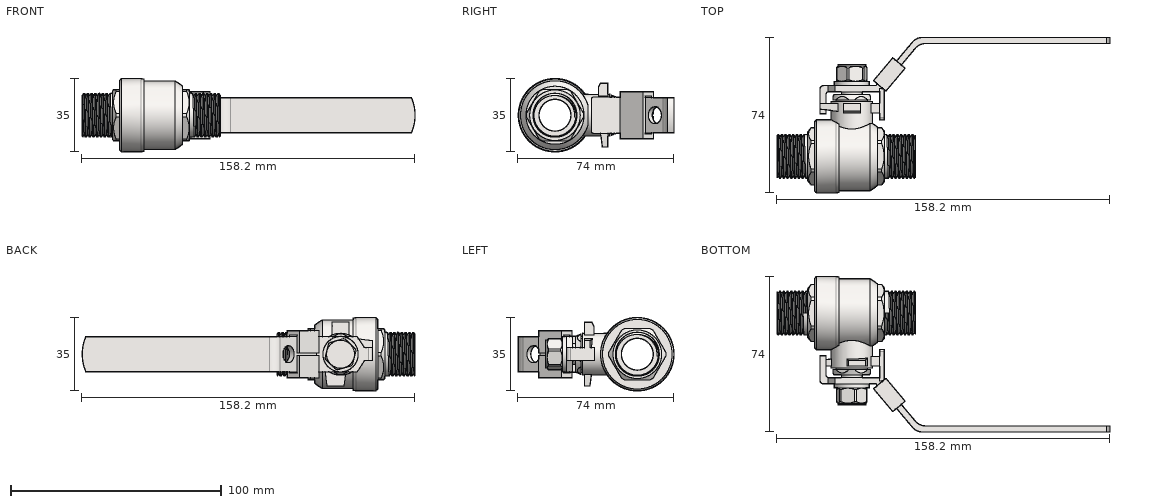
import cadquery as cq
import math


LEFT_END = -35.5
TOTAL_LENGTH = 158.2
TOTAL_DEPTH = 74.0
LEVER_TIP = LEFT_END + TOTAL_LENGTH
BORE_DIA = 15.0

THREAD_DIA = 20.9
THREAD_LENGTH = 13.5
THREAD_TURNS = 7.5
THREAD_PITCH = THREAD_LENGTH / THREAD_TURNS
THREAD_DEPTH = 1.1
GROOVE_MOUTH = 1.6
GROOVE_OVERSHOOT = 0.2
RIGHT_END = 30.2
END_CHAMFER = 0.5

WRENCH_FLATS = 24.4
WRENCH_CORNER_DIA = 27.2
LEFT_HEX_START = -21.0
LEFT_HEX_BEVEL = (23.1, 1.7)
RIGHT_HEX_END = 15.5
RIGHT_HEX_BEVEL = (24.0, 1.3)

RING_DIA = 35.0
RING_START = -17.7
RING_END = -6.0
RING_LEFT_CHAMFER = 1.0
RING_RIGHT_BEVEL = (1.5, 0.3)
BODY_DIA = 32.8
BODY_SPHERE_RADIUS = 18.5
BODY_END = 12.3

NECK_DIA = 20.0
NECK_TOP = 26.1
GLAND_NECK_DIA = 15.0
GLAND_BOTTOM = 26.7
GLAND_TOP = 29.5
GLAND_FLATS = 17.9
GLAND_TOP_DIA = 17.1
GLAND_BOTTOM_DIA = 19.3
STEM_DIA = 10.0
WASHER_DIA = 16.8
WASHER_TOP = 35.6
NUT_TOP = 43.7
NUT_FLATS = 13.5
NUT_CORNER_DIA = 15.0
NUT_FACE_DIA = 13.3
NUT_BEVEL = 0.8
NUT_CAP_HEIGHT = 0.8
NUT_ANGLE = 44.0

LUG_REACH = 15.2
LUG_TOP = 25.2
LUG_WIDTH = 8.0
THICK_LUG_HEIGHT = 4.6
THICK_LUG_BEVEL = (1.9, 1.0)
THIN_LUG_TIP_HEIGHT = 2.7
THIN_LUG_OFFSET = 2.4
THIN_LUG_DRAFT = 0.13
LUG_ROOT = 4.7

LEVER_WIDTH = 16.8
LEVER_THICKNESS = 3.0
PLATE_TOP = 33.7
GRIP_TOP = TOTAL_DEPTH - RING_DIA / 2
ARM_ANGLE = 50.0
ARM_TOP_X = 30.7
GRIP_BEND_RADIUS = 6.3
TIP_BULGE = 1.7
LANYARD_HOLE_DIA = 8.0
LANYARD_HOLE_Y = 49.4

LEFT_TAB_WIDTH = 6.2
LEFT_TAB_X = -15.2
LEFT_TAB_BOTTOM = 20.3
TAB_OUTER_RADIUS = 1.9
TAB_INNER_RADIUS = 1.3
TAPER_START_X = -7.9
TAPER_END_X = -11.4
RIGHT_TAB_X = 13.3
RIGHT_TAB_THICKNESS = 2.2
RIGHT_TAB_WIDTH = 17.2
RIGHT_TAB_BOTTOM = 17.2
RIGHT_TAB_CORNER = 1.1

SLEEVE_LENGTH = 14.2
SLEEVE_HEIGHT = 7.8
SLEEVE_WIDTH = 22.5
SLEEVE_CENTER_Y = 39.0
SLEEVE_SLIT = 1.1
SLEEVE_OPENING_HEIGHT = 4.5
SLEEVE_OPENING_WIDTH = 18.0

ARM_SLOPE = math.tan(math.radians(ARM_ANGLE))
PLATE_BOTTOM = PLATE_TOP - LEVER_THICKNESS


def box(x_range, y_range, z_range):
    """Block given by its limits along each axis."""
    size = [high - low for low, high in (x_range, y_range, z_range)]
    corner = cq.Vector(x_range[0], y_range[0], z_range[0])
    return cq.Workplane("XY").add(cq.Solid.makeBox(*size, pnt=corner))


def turned_x(points):
    """Solid of revolution about the bore axis from (x, radius) points."""
    return cq.Workplane("XY").polyline(points).close().revolve(360, (0, 0), (1, 0))


def turned_y(points):
    """Solid of revolution about the stem axis from (radius, y) points."""
    return cq.Workplane("XY").polyline(points).close().revolve(360, (0, 0), (0, 1))


def disc(diameter, bottom, top):
    """Cylinder on the stem axis."""
    return cq.Workplane("XZ", origin=(0, bottom, 0)).circle(diameter / 2).extrude(bottom - top)


def hex_across_flats(workplane, flats, length):
    """Hexagonal prism with corners on the local x axis."""
    return workplane.polygon(6, flats / math.cos(math.radians(30))).extrude(length)


def wrench_hex(inner_x, outer_x, bevel):
    """Hex on the bore axis, turned at the corners and bevelled at its outer end."""
    outer_dia, bevel_length = bevel
    direction = math.copysign(1, outer_x - inner_x)
    bevel_x = outer_x - direction * bevel_length
    prism = hex_across_flats(cq.Workplane("YZ", origin=(inner_x, 0, 0)), WRENCH_FLATS, outer_x - inner_x)
    envelope = turned_x([
        (inner_x, 0),
        (inner_x, WRENCH_CORNER_DIA / 2),
        (bevel_x, WRENCH_CORNER_DIA / 2),
        (outer_x, outer_dia / 2),
        (outer_x, 0),
    ])
    return prism.intersect(envelope)


def thread_groove(start_x, length):
    """Helical V groove on the bore axis, from start_x toward +X."""
    radius = THREAD_DIA / 2
    half_width = GROOVE_MOUTH / 2
    helix = cq.Wire.makeHelix(THREAD_PITCH, length, radius, cq.Vector(start_x, 0, 0), cq.Vector(1, 0, 0))
    start = helix.startPoint()
    outward = cq.Vector(0, start.y, start.z).normalized()
    plane = cq.Plane(origin=start.toTuple(), xDir=(1, 0, 0), normal=cq.Vector(1, 0, 0).cross(outward))
    section = cq.Workplane(plane).polyline([
        (-half_width, GROOVE_OVERSHOOT),
        (half_width, GROOVE_OVERSHOOT),
        (0, -THREAD_DEPTH),
    ]).close()
    return section.sweep(cq.Workplane("XY").add(helix), isFrenet=True)


def threaded_pipe(inner_length):
    """Pipe from x = 0 toward +X, threaded at its open end."""
    radius = THREAD_DIA / 2
    pipe = turned_x([
        (0, BORE_DIA / 2),
        (0, radius - END_CHAMFER),
        (END_CHAMFER, radius),
        (inner_length, radius),
        (inner_length, BORE_DIA / 2),
    ])
    return pipe.cut(thread_groove(-THREAD_PITCH, THREAD_LENGTH + THREAD_PITCH))


def dome_radius(x):
    """Radius of the spherical end of the body at x."""
    return math.sqrt(BODY_SPHERE_RADIUS**2 - x**2)


def make_body():
    """Threaded pipe ends, clamp ring, round body and wrench hexes."""
    ring_radius = RING_DIA / 2
    bevel_length, bevel_depth = RING_RIGHT_BEVEL
    body_radius = BODY_DIA / 2
    dome_start = math.sqrt(BODY_SPHERE_RADIUS**2 - body_radius**2)
    dome_middle = (dome_start + BODY_END) / 2
    shell = (
        cq.Workplane("XY")
        .moveTo(RING_START, 0)
        .lineTo(RING_START, ring_radius - RING_LEFT_CHAMFER)
        .lineTo(RING_START + RING_LEFT_CHAMFER, ring_radius)
        .lineTo(RING_END - bevel_length, ring_radius)
        .lineTo(RING_END, ring_radius - bevel_depth)
        .lineTo(RING_END, body_radius)
        .lineTo(dome_start, body_radius)
        .threePointArc((dome_middle, dome_radius(dome_middle)), (BODY_END, dome_radius(BODY_END)))
        .lineTo(BODY_END, 0)
        .close()
        .revolve(360, (0, 0), (1, 0))
    )
    left_hex = wrench_hex(RING_START, LEFT_HEX_START, LEFT_HEX_BEVEL)
    right_hex = wrench_hex(BODY_END, RIGHT_HEX_END, RIGHT_HEX_BEVEL)
    left_pipe = threaded_pipe(RING_START - LEFT_END).translate((LEFT_END, 0, 0))
    right_pipe = (
        threaded_pipe(RIGHT_END - BODY_END)
        .rotate((0, 0, 0), (0, 0, 1), 180)
        .translate((RIGHT_END, 0, 0))
    )
    core = shell.union(left_hex).union(right_hex)
    return core.union(left_pipe).union(right_pipe)


def make_gland():
    """Gland nut with a conical top, corners on +Z and -Z."""
    prism = hex_across_flats(
        cq.Workplane("XZ", origin=(0, GLAND_BOTTOM, 0)), GLAND_FLATS, GLAND_BOTTOM - GLAND_TOP
    ).rotate((0, 0, 0), (0, 1, 0), 90)
    cone = turned_y([
        (0, GLAND_BOTTOM),
        (GLAND_BOTTOM_DIA / 2, GLAND_BOTTOM),
        (GLAND_TOP_DIA / 2, GLAND_TOP),
        (0, GLAND_TOP),
    ])
    return prism.intersect(cone)


def make_nut():
    """Lever nut, bevelled at both ends, with a round cap on top."""
    prism = hex_across_flats(
        cq.Workplane("XZ", origin=(0, WASHER_TOP, 0)), NUT_FLATS, WASHER_TOP - NUT_TOP
    ).rotate((0, 0, 0), (0, 1, 0), -NUT_ANGLE)
    hex_top = NUT_TOP - NUT_CAP_HEIGHT
    envelope = turned_y([
        (0, WASHER_TOP),
        (NUT_FACE_DIA / 2, WASHER_TOP),
        (NUT_CORNER_DIA / 2, WASHER_TOP + NUT_BEVEL),
        (NUT_CORNER_DIA / 2, hex_top - NUT_BEVEL),
        (NUT_FACE_DIA / 2, hex_top),
        (NUT_FACE_DIA / 2, NUT_TOP),
        (0, NUT_TOP),
    ])
    return prism.intersect(envelope)


def make_thick_lug():
    """Straight lug toward +X with a bevelled lower tip."""
    bevel_length, bevel_height = THICK_LUG_BEVEL
    bottom = LUG_TOP - THICK_LUG_HEIGHT
    return (
        cq.Workplane("XY")
        .polyline([
            (LUG_ROOT, LUG_TOP),
            (LUG_REACH, LUG_TOP),
            (LUG_REACH, bottom + bevel_height),
            (LUG_REACH - bevel_length, bottom),
            (LUG_ROOT, bottom),
        ])
        .close()
        .extrude(LUG_WIDTH / 2, both=True)
    )


def make_thin_lug():
    """Drafted lug toward -X, set off to the +Z side."""
    length = LUG_REACH - LUG_ROOT
    growth = THIN_LUG_DRAFT * length
    tip_bottom = LUG_TOP - THIN_LUG_TIP_HEIGHT
    side = (
        cq.Workplane("XY")
        .polyline([
            (-LUG_REACH, LUG_TOP),
            (-LUG_REACH, tip_bottom),
            (-LUG_ROOT, tip_bottom - growth),
            (-LUG_ROOT, LUG_TOP),
        ])
        .close()
        .extrude(LUG_REACH, both=True)
    )
    high_z = THIN_LUG_OFFSET + LUG_WIDTH / 2
    low_z = THIN_LUG_OFFSET - LUG_WIDTH / 2
    plan = (
        cq.Workplane("XZ")
        .polyline([
            (-LUG_REACH, low_z),
            (-LUG_REACH, high_z),
            (-LUG_ROOT, high_z + growth),
            (-LUG_ROOT, low_z - growth),
        ])
        .close()
        .extrude(-NECK_TOP)
    )
    return side.intersect(plan)


def make_neck():
    """Neck, stop lugs, gland, stem, washer and lever nut."""
    neck = disc(NECK_DIA, 0, NECK_TOP)
    for lug in (make_thick_lug(), make_thin_lug()):
        neck = neck.union(lug)
        neck = neck.union(lug.mirror((1, 0, -1)))
    neck = neck.union(disc(GLAND_NECK_DIA, NECK_TOP, GLAND_BOTTOM))
    neck = neck.union(make_gland())
    neck = neck.union(disc(STEM_DIA, NECK_TOP, WASHER_TOP))
    neck = neck.union(disc(WASHER_DIA, PLATE_TOP, WASHER_TOP))
    return neck.union(make_nut())


def arm_top_x(y):
    """X of the upper arm surface at height y."""
    return ARM_TOP_X - (GRIP_TOP - y) / ARM_SLOPE


def make_strip():
    """Bent lever strip with the turned-down tab at its left end."""
    miter = LEVER_THICKNESS * math.tan(math.radians(ARM_ANGLE / 2))
    tab_inner_x = LEFT_TAB_X + LEVER_THICKNESS
    grip_bottom = GRIP_TOP - LEVER_THICKNESS
    side = (
        cq.Workplane("XY")
        .polyline([
            (LEFT_TAB_X, LEFT_TAB_BOTTOM),
            (LEFT_TAB_X, PLATE_TOP),
            (arm_top_x(PLATE_TOP), PLATE_TOP),
            (ARM_TOP_X, GRIP_TOP),
            (LEVER_TIP, GRIP_TOP),
            (LEVER_TIP, grip_bottom),
            (ARM_TOP_X + miter, grip_bottom),
            (arm_top_x(PLATE_TOP) + miter, PLATE_BOTTOM),
            (tab_inner_x, PLATE_BOTTOM),
            (tab_inner_x, LEFT_TAB_BOTTOM),
        ])
        .close()
        .extrude(LEVER_WIDTH / 2, both=True)
    )
    bends = (
        (ARM_TOP_X, GRIP_TOP, GRIP_BEND_RADIUS),
        (ARM_TOP_X + miter, grip_bottom, GRIP_BEND_RADIUS),
        (LEFT_TAB_X, PLATE_TOP, TAB_OUTER_RADIUS),
        (tab_inner_x, PLATE_BOTTOM, TAB_INNER_RADIUS),
    )
    for x, y, radius in bends:
        side = side.edges(cq.selectors.NearestToPointSelector((x, y, 0))).fillet(radius)

    half = LEVER_WIDTH / 2
    half_tab = LEFT_TAB_WIDTH / 2
    plan = (
        cq.Workplane("XZ")
        .moveTo(LEFT_TAB_X, -half_tab)
        .lineTo(TAPER_END_X, -half_tab)
        .lineTo(TAPER_START_X, -half)
        .lineTo(LEVER_TIP - TIP_BULGE, -half)
        .threePointArc((LEVER_TIP, 0), (LEVER_TIP - TIP_BULGE, half))
        .lineTo(TAPER_START_X, half)
        .lineTo(TAPER_END_X, half_tab)
        .lineTo(LEFT_TAB_X, half_tab)
        .close()
        .extrude(-GRIP_TOP)
    )
    return side.intersect(plan)


def on_arm(y, depth):
    """Plane at height y along the arm, depth below its upper face: x up the arm, y across, z outward."""
    angle = math.radians(ARM_ANGLE)
    along = cq.Vector(math.cos(angle), math.sin(angle), 0)
    outward = cq.Vector(-math.sin(angle), math.cos(angle), 0)
    origin = cq.Vector(arm_top_x(y), y, 0) - outward * depth
    return cq.Workplane(cq.Plane(origin=origin, xDir=along, normal=outward))


def make_sleeve():
    """Loose sleeve round the arm, slit along the middle of its upper wall."""
    half_strip = LEVER_THICKNESS / 2
    center_y = SLEEVE_CENTER_Y + half_strip * math.cos(math.radians(ARM_ANGLE))
    block = on_arm(center_y, half_strip).box(SLEEVE_LENGTH, SLEEVE_WIDTH, SLEEVE_HEIGHT)
    opening = on_arm(center_y, half_strip).box(SLEEVE_LENGTH, SLEEVE_OPENING_WIDTH, SLEEVE_OPENING_HEIGHT)
    slit = on_arm(center_y, half_strip).rect(SLEEVE_LENGTH, SLEEVE_SLIT).extrude(SLEEVE_HEIGHT / 2)
    return block.cut(opening).cut(slit)


def make_lever():
    """Strip with lanyard hole; the right stop tab joins it to the sleeve."""
    lever = make_strip()
    hole = on_arm(LANYARD_HOLE_Y, LEVER_THICKNESS).circle(LANYARD_HOLE_DIA / 2).extrude(LEVER_THICKNESS)
    right_tab = box(
        (RIGHT_TAB_X, RIGHT_TAB_X + RIGHT_TAB_THICKNESS),
        (RIGHT_TAB_BOTTOM, PLATE_TOP - LEVER_THICKNESS / 2),
        (-RIGHT_TAB_WIDTH / 2, RIGHT_TAB_WIDTH / 2),
    ).edges("<Y and |X").fillet(RIGHT_TAB_CORNER)
    return lever.union(right_tab).union(make_sleeve()).cut(hole)


bore = cq.Workplane("YZ", origin=(LEFT_END, 0, 0)).circle(BORE_DIA / 2).extrude(RIGHT_END - LEFT_END)

result = make_body().union(make_neck()).cut(bore).union(make_lever())